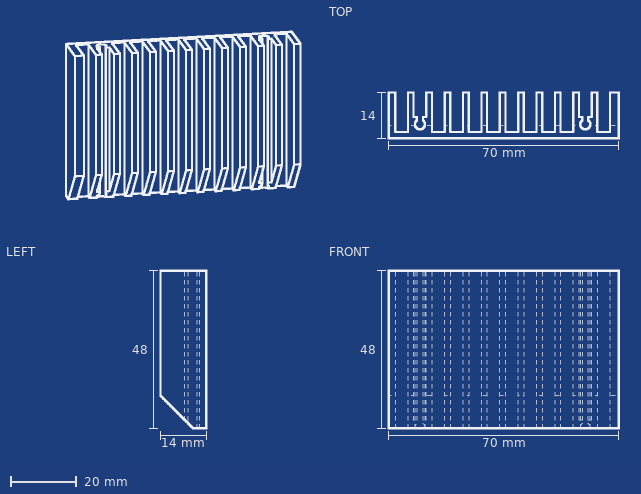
import cadquery as cq

WIDTH = 70.0
DEPTH = 14.0
HEIGHT = 48.0

BASE_THICKNESS = 2.0
FIRST_WALL = 2.0
CHANNEL_COUNT = 12
CHANNEL_WIDTH = 3.8
CHANNEL_PITCH = 5.588

SCREW_CHANNELS = (1, 10)
SCREW_FLOOR = 6.6
NECK_WIDTH = 1.8
SCREW_DIAMETER = 3.0
SCREW_CENTER_Y = 4.3

BEVEL = 10.0


def cut_block(x_center, width, y_floor, y_top):
    """Full-height block, centred on x_center, spanning y_floor to y_top."""
    return (
        cq.Workplane("XY")
        .box(width, y_top - y_floor, HEIGHT, centered=(True, False, False))
        .translate((x_center, y_floor, 0))
    )


def plain_channel(x_center):
    return cut_block(x_center, CHANNEL_WIDTH, BASE_THICKNESS, DEPTH)


def screw_channel(x_center):
    slot = cut_block(x_center, CHANNEL_WIDTH, SCREW_FLOOR, DEPTH)
    neck = cut_block(x_center, NECK_WIDTH, SCREW_CENTER_Y, DEPTH)
    groove = (
        cq.Workplane("XY")
        .center(x_center, SCREW_CENTER_Y)
        .circle(SCREW_DIAMETER / 2)
        .extrude(HEIGHT)
    )
    return slot.union(neck).union(groove)


def bevel_wedge():
    """Triangular prism along X that removes the lower +Y edge."""
    return (
        cq.Workplane("YZ")
        .moveTo(DEPTH - BEVEL, 0)
        .lineTo(DEPTH, 0)
        .lineTo(DEPTH, BEVEL)
        .close()
        .extrude(WIDTH)
    )


body = cq.Workplane("XY").box(WIDTH, DEPTH, HEIGHT, centered=False)

for index in range(CHANNEL_COUNT):
    channel_x = FIRST_WALL + CHANNEL_WIDTH / 2 + index * CHANNEL_PITCH
    if index in SCREW_CHANNELS:
        body = body.cut(screw_channel(channel_x))
    else:
        body = body.cut(plain_channel(channel_x))

result = body.cut(bevel_wedge())